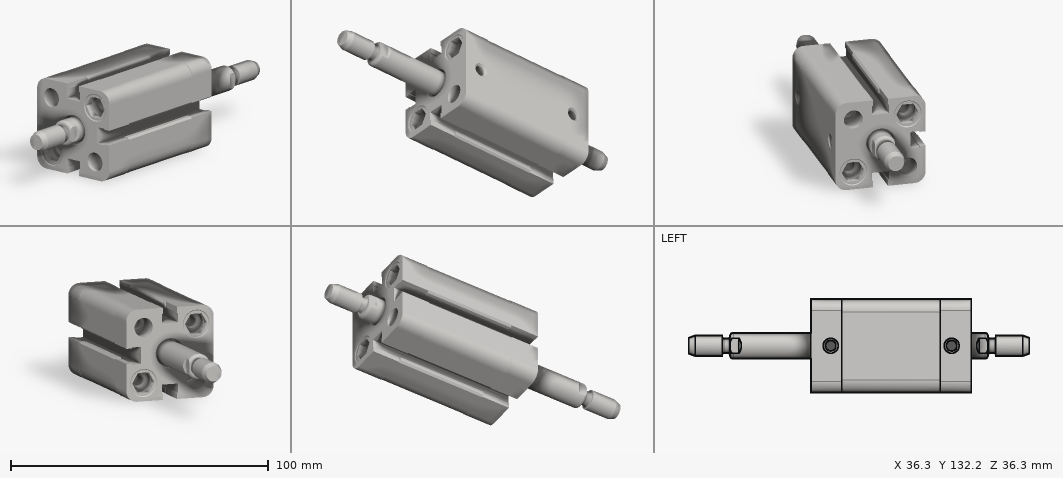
import cadquery as cq
import math

total_length = 132.1
body_size = 36.3
cap_length = 12.0
barrel_length = 38.2
front_rod_reach = 6.5
stroke = 25.0

rod_dia = 10.0
rod_end_radius = 1.3
flat_width = 8.0
flat_length = 3.5
thread_dia = 8.0
stud_length = 16.0
tip_chamfer_length = 2.5
tip_chamfer_depth = 0.9
neck_dia = 5.8
neck_length = 2.9
neck_radius = 0.5

cap_corner_radius = 4.5
barrel_corner_radius = 4.9
slot_depth = 6.1
slot_width = 6.7
lip_height = 2.4
cap_slot_opening = 6.0
barrel_slot_opening = 5.0
lip_bevel = 0.8

screw_offset = 11.0
socket_mouth_dia = 11.1
socket_rim_dia = 10.5
hex_width = 7.9
hex_depth = 3.2
hex_relief_dia = 8.0
hex_relief_depth = 5.7
mount_hole_dia = 7.5
mount_hole_depth = 9.2
thread_core_dia = 4.1
thread_mouth_dia = 5.2
rod_recess_dia = 11.0
rod_recess_mouth_dia = 12.0
rod_recess_depth = 3.0
port_mouth_dia = 5.8
port_dia = 4.1
port_depth = 10.0
port_from_barrel = 4.4

front_face_y = -total_length / 2 + stud_length + front_rod_reach
barrel_front_y = front_face_y + cap_length
barrel_rear_y = barrel_front_y + barrel_length
rear_face_y = barrel_rear_y + cap_length
middle_y = (front_face_y + rear_face_y) / 2
half_size = body_size / 2


def cylinder(dia, start, length):
    """Cylinder on the Y axis running from y = start toward +Y."""
    return cq.Workplane("XZ", origin=(0, start, 0)).circle(dia / 2).extrude(-length)


def cone(start_dia, end_dia, length):
    """Cone frustum on the Y axis from y = 0 toward +Y."""
    profile = [(0, 0), (start_dia / 2, 0), (end_dia / 2, length), (0, length)]
    return cq.Workplane("XY").polyline(profile).close().revolve(360, (0, 0, 0), (0, 1, 0))


def slot_cutter(length, opening):
    """T-slot on the +Z side from y = 0 to y = length."""
    top = half_size
    right_side = [
        (opening / 2, top),
        (opening / 2, top - lip_height),
        (slot_width / 2, top - lip_height),
        (slot_width / 2, top - slot_depth),
    ]
    left_side = [(-x, z) for x, z in reversed(right_side)]
    return cq.Workplane("XZ").polyline(right_side + left_side).close().extrude(-length)


def bevelled_slot_cutter(length, opening):
    """T-slot whose mouth widens at 45 degrees toward the outer face."""
    bevel = [
        (opening / 2, half_size - lip_bevel),
        (opening / 2 + lip_bevel, half_size),
        (-opening / 2 - lip_bevel, half_size),
        (-opening / 2, half_size - lip_bevel),
    ]
    mouth = cq.Workplane("XZ").polyline(bevel).close().extrude(-length)
    return slot_cutter(length, opening).union(mouth)


def housing_block(length, corner_radius, slot):
    """Rounded square block from y = 0 to y = length with slots on +X, +Z and -Z."""
    block = cq.Workplane("XZ").rect(body_size, body_size).extrude(-length)
    block = block.edges("|Y").fillet(corner_radius)
    for angle in (0, 90, 180):
        block = block.cut(slot.rotate((0, 0, 0), (0, 1, 0), angle))
    return block


def tapped_hole(start):
    """Countersunk hole at the bottom of a screw recess, running to the inner cap face."""
    countersink_length = (thread_mouth_dia - thread_core_dia) / 2
    countersink = cone(thread_mouth_dia, thread_core_dia, countersink_length)
    return cylinder(thread_core_dia, start, cap_length - start).union(countersink.translate((0, start, 0)))


def socket_recess():
    """Bevelled mouth, hexagon socket and tapped hole of a fixing screw."""
    hex_corner_dia = hex_width / math.cos(math.pi / 6)
    bevel_length = (socket_mouth_dia - socket_rim_dia) / 2
    recess = cone(socket_mouth_dia, socket_rim_dia, bevel_length)
    recess = recess.union(cq.Workplane("XZ").polygon(6, hex_corner_dia).extrude(-hex_depth))
    recess = recess.union(cylinder(hex_relief_dia, 0, hex_relief_depth))
    return recess.union(tapped_hole(hex_relief_depth))


def mount_recess():
    """Plain mounting hole with a tapped hole at its bottom."""
    return cylinder(mount_hole_dia, 0, mount_hole_depth).union(tapped_hole(mount_hole_depth))


def rod_passage():
    """Rod bore with a bevelled recess at the outer face."""
    bevel_length = (rod_recess_mouth_dia - rod_recess_dia) / 2
    passage = cylinder(rod_dia, 0, cap_length)
    passage = passage.union(cylinder(rod_recess_dia, 0, rod_recess_depth))
    return passage.union(cone(rod_recess_mouth_dia, rod_recess_dia, bevel_length))


def air_port():
    """Countersunk blind port on the -X side."""
    bevel_length = (port_mouth_dia - port_dia) / 2
    port = cylinder(port_dia, 0, port_depth).union(cone(port_mouth_dia, port_dia, bevel_length))
    port = port.rotate((0, 0, 0), (0, 0, 1), -90)
    return port.translate((-half_size, cap_length - port_from_barrel, 0))


def end_cap(socket_diagonal):
    """Cap with its outer face at y = 0; sockets lie where x = socket_diagonal * z."""
    cap = housing_block(cap_length, cap_corner_radius, slot_cutter(cap_length, cap_slot_opening))
    for x_side in (-1, 1):
        for z_side in (-1, 1):
            recess = socket_recess() if x_side == socket_diagonal * z_side else mount_recess()
            cap = cap.cut(recess.translate((x_side * screw_offset, 0, z_side * screw_offset)))
    return cap.cut(rod_passage()).cut(air_port())


def piston_rod(reach):
    """Rod pointing to -Y from the middle of the housing, standing out of the cap by reach."""
    shoulder_y = front_face_y - reach
    tip_y = shoulder_y - stud_length
    thread_end_y = shoulder_y - neck_length
    r_rod = rod_dia / 2
    r_thread = thread_dia / 2
    r_neck = neck_dia / 2
    diagonal = math.sqrt(0.5)
    neck_arc = neck_radius
    end_arc = rod_end_radius
    profile = (
        cq.Workplane("XY")
        .moveTo(0, tip_y)
        .lineTo(r_thread - tip_chamfer_depth, tip_y)
        .lineTo(r_thread, tip_y + tip_chamfer_length)
        .lineTo(r_thread, thread_end_y)
        .lineTo(r_neck + neck_arc, thread_end_y)
        .threePointArc(
            (r_neck + neck_arc * (1 - diagonal), thread_end_y + neck_arc * (1 - diagonal)),
            (r_neck, thread_end_y + neck_arc),
        )
        .lineTo(r_neck, shoulder_y - neck_arc)
        .threePointArc(
            (r_neck + neck_arc * (1 - diagonal), shoulder_y - neck_arc * (1 - diagonal)),
            (r_neck + neck_arc, shoulder_y),
        )
        .lineTo(r_rod - end_arc, shoulder_y)
        .threePointArc(
            (r_rod - end_arc * (1 - diagonal), shoulder_y + end_arc * (1 - diagonal)),
            (r_rod, shoulder_y + end_arc),
        )
        .lineTo(r_rod, middle_y)
        .lineTo(0, middle_y)
        .close()
    )
    rod = profile.revolve(360, (0, 0, 0), (0, 1, 0))
    return rod.cut(wrench_flat(shoulder_y, 1)).cut(wrench_flat(shoulder_y, -1))


def wrench_flat(shoulder_y, side):
    """Cutter for one wrench flat, run out at 45 degrees; side is +1 or -1 along X."""
    inner = flat_width / 2
    outer = rod_dia / 2
    flat_end_y = shoulder_y + flat_length
    outline = [
        (side * inner, shoulder_y),
        (side * inner, flat_end_y),
        (side * outer, flat_end_y + outer - inner),
        (side * outer, shoulder_y),
    ]
    return cq.Workplane("XY").polyline(outline).close().extrude(rod_dia / 2, both=True)


def to_rear(shape):
    """Mirror a front-end body to the rear end of the housing."""
    return shape.mirror("XZ", (0, middle_y, 0))


barrel_slot = bevelled_slot_cutter(barrel_length, barrel_slot_opening)
barrel = housing_block(barrel_length, barrel_corner_radius, barrel_slot)
barrel = barrel.cut(cylinder(rod_dia, 0, barrel_length)).translate((0, barrel_front_y, 0))

front_cap = end_cap(1).translate((0, front_face_y, 0))
rear_cap = to_rear(end_cap(-1).translate((0, front_face_y, 0)))

front_rod = piston_rod(front_rod_reach)
rear_rod = to_rear(piston_rod(front_rod_reach + stroke))

result = cq.Compound.makeCompound(
    [barrel.val(), front_cap.val(), rear_cap.val(), front_rod.val(), rear_rod.val()]
)